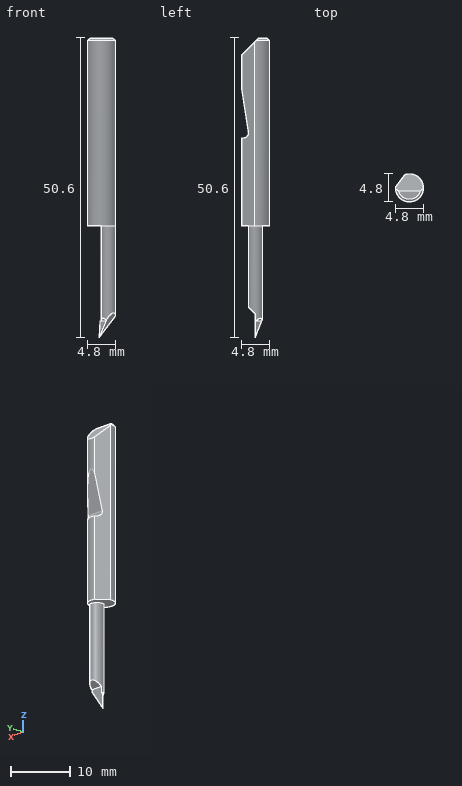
import cadquery as cq
import math

total_length = 50.6
shank_radius = 2.4
shoulder_z = 18.85
overlap = 0.5
cutter_size = 75.85

chamfer_width = 0.45
chamfer_height = 0.4
bevel_start_y = -0.5
flat_normal_angle = 143.0
flat_distance = 1.95
notch_top_z = 42.25
notch_bottom_z = 33.75
notch_floor_y = 1.05
notch_fillet = 0.8

neck_radius = 1.2
neck_x = shank_radius - neck_radius

tip_x = -0.4
rake_y = 0.05
rake_shelf_z = 4.0
flank_top_z = 2.85
underside_slope = 2.0
flank_top_x = -0.25
relief_top_z = 3.65
ridge_x = 0.8
ridge_y = -1.05

TIP = cq.Vector(tip_x, rake_y, 0)
RIDGE_TOP = cq.Vector(ridge_x, ridge_y, flank_top_z)
FLANK_TOP = cq.Vector(flank_top_x, rake_y, flank_top_z)
RELIEF_TOP = cq.Vector(shank_radius, rake_y, relief_top_z)


def beyond_plane(origin, normal):
    """Large block filling the space on the normal side of a plane."""
    plane = cq.Plane(origin=origin, normal=normal)
    return cq.Workplane(plane).rect(2 * cutter_size, 2 * cutter_size).extrude(cutter_size)


def normal_through(start, first, second):
    """Normal of the plane through three points."""
    return (first - start).cross(second - start)


def extrude_along_x(points):
    """Prism with a YZ outline, spanning the full part width."""
    return cq.Workplane("YZ").polyline(points).close().extrude(cutter_size, both=True)


def make_shank():
    bottom_corner = (shank_radius, shoulder_z)
    chamfer_bottom = (shank_radius, total_length - chamfer_height)
    chamfer_top = (shank_radius - chamfer_width, total_length)
    outline = [(0, shoulder_z), bottom_corner, chamfer_bottom, chamfer_top, (0, total_length)]
    shank = cq.Workplane("XZ").polyline(outline).close().revolve(360, (0, 0, 0), (0, 1, 0))

    angle = math.radians(flat_normal_angle)
    direction = cq.Vector(math.cos(angle), math.sin(angle), 0)
    shank = shank.cut(beyond_plane(direction * flat_distance, direction))

    shank = shank.cut(beyond_plane((0, bevel_start_y, total_length), (0, 1, 1)))
    return shank.cut(make_notch())


def make_notch():
    """Ramped clamping notch with a rounded foot."""
    outer_y = shank_radius + overlap
    outline = [
        (outer_y, notch_bottom_z),
        (notch_floor_y, notch_bottom_z),
        (shank_radius, notch_top_z),
        (outer_y, notch_top_z),
    ]
    notch = extrude_along_x(outline)
    foot = cq.selectors.NearestToPointSelector((0, notch_floor_y, notch_bottom_z))
    return notch.edges(foot).fillet(notch_fillet)


def make_neck_and_tip():
    """Round neck down to the tip level, with a pointed tip reaching past it on the -X side."""
    height = shoulder_z + overlap
    neck = cq.Workplane("XY", origin=(neck_x, 0, 0)).circle(neck_radius).extrude(height)
    tip_block = (
        cq.Workplane("XY")
        .moveTo(tip_x, rake_y)
        .lineTo(neck_x, rake_y)
        .lineTo(neck_x, -neck_radius)
        .lineTo(tip_x, -neck_radius)
        .close()
        .extrude(height)
    )

    flank_edge = RIDGE_TOP - FLANK_TOP
    outward = flank_edge.cross(cq.Vector(0, 0, 1)).normalized()
    outside_flank = beyond_plane(TIP, normal_through(TIP, RIDGE_TOP, FLANK_TOP))
    above_flank = beyond_plane(FLANK_TOP, (0, 0, 1))
    below_underside = beyond_plane(FLANK_TOP, outward * underside_slope - cq.Vector(0, 0, 1))
    neck = neck.cut(outside_flank.intersect(below_underside))
    return neck.union(tip_block.cut(outside_flank).cut(above_flank))


def cut_rake(tool):
    """Remove the +Y half of the tip, ending in a 45 degree run-out."""
    outer_y = rake_y + 2 * neck_radius
    outline = [
        (rake_y, -overlap),
        (rake_y, rake_shelf_z),
        (outer_y, rake_shelf_z + outer_y - rake_y),
        (outer_y, -overlap),
    ]
    return tool.cut(extrude_along_x(outline))


def cut_relief(tool):
    """Slanted relief face running from the tip to the +X side."""
    normal = normal_through(TIP, RELIEF_TOP, RIDGE_TOP)
    return tool.cut(beyond_plane(TIP, normal))


tool = make_neck_and_tip()
tool = cut_relief(cut_rake(tool))
result = make_shank().union(tool)